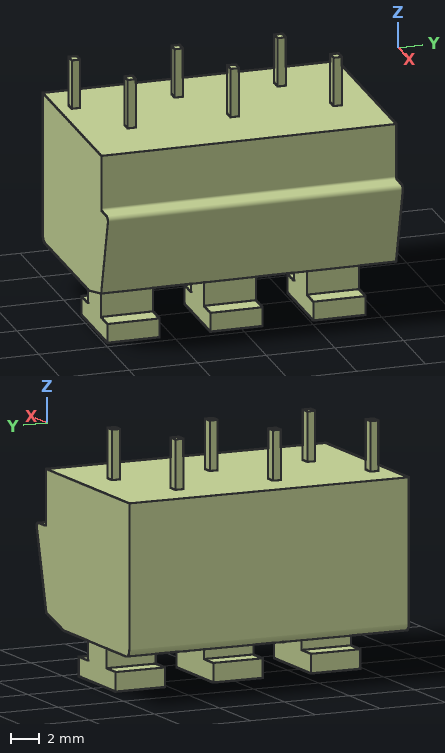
import cadquery as cq
import math

housing_length = 21.5
overall_width = 15.0
housing_width = 13.5
housing_height = 10.95
ledge_drop = 4.05
tip_radius = 0.3
ledge_root_radius = 0.15
bottom_edge_radius = 0.54
nose_angle = math.radians(15)
nose_corner_height = 0.75

pitch = 7.5
position_count = 3

pin_size_x = 0.8
pin_size_y = 0.6
pin_height = 3.57
pin_row_spacing = 4.99
pin_stagger = 2.5
first_row_x = 3.33
first_row_y = -2.0

button_x = 8.75
button_y = -0.35
button_length = 3.8
button_height = 3.6
stem_width = 2.99
foot_width = 6.0
foot_height = 1.4


def row_positions(x, middle_y):
    """Points along Y at the common pitch, centred on middle_y."""
    middle = (position_count - 1) / 2
    return [(x, middle_y + (i - middle) * pitch) for i in range(position_count)]


def make_housing():
    ledge_z = housing_height - ledge_drop
    tip_angle = math.pi / 2 - nose_angle
    tip_x = overall_width + tip_radius * (1 / math.tan(tip_angle / 2) - 1)
    corner_x = tip_x - (ledge_z - nose_corner_height) * math.tan(nose_angle)
    slope_start_x = corner_x - nose_corner_height / math.tan(nose_angle)
    body = (
        cq.Workplane("XZ")
        .polyline([
            (0, 0),
            (slope_start_x, 0),
            (corner_x, nose_corner_height),
            (tip_x, ledge_z),
            (housing_width, ledge_z),
            (housing_width, housing_height),
            (0, housing_height),
        ])
        .close()
        .extrude(housing_length / 2, both=True)
    )
    rounded_edges = [
        ((0, 0, 0), bottom_edge_radius),
        ((tip_x, 0, ledge_z), tip_radius),
        ((housing_width, 0, ledge_z), ledge_root_radius),
    ]
    for edge_point, radius in rounded_edges:
        body = body.edges("|Y").edges(cq.NearestToPointSelector(edge_point)).fillet(radius)
    return body


def make_pins():
    second_row_x = first_row_x + pin_row_spacing
    second_row_y = first_row_y + pin_stagger
    points = row_positions(first_row_x, first_row_y) + row_positions(second_row_x, second_row_y)
    return (
        cq.Workplane("XY", origin=(0, 0, housing_height))
        .pushPoints(points)
        .rect(pin_size_x, pin_size_y)
        .extrude(pin_height)
    )


def make_buttons():
    points = row_positions(button_x, button_y)
    stems = cq.Workplane("XY").pushPoints(points).rect(stem_width, button_length).extrude(-button_height)
    feet = (
        cq.Workplane("XY", origin=(0, 0, -button_height))
        .pushPoints(points)
        .rect(foot_width, button_length)
        .extrude(foot_height)
    )
    return stems.union(feet)


result = make_housing().union(make_pins()).union(make_buttons())